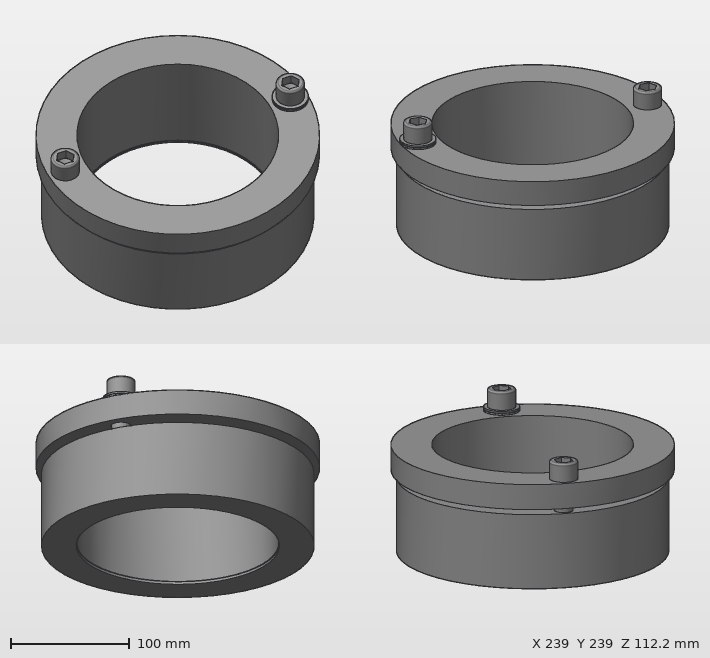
import cadquery as cq
import math

housing_diameter = 230.0
housing_height = 65.2

flange_diameter = 239.0
flange_thickness = 22.0
flange_gap = 5.7
bore_diameter = 170.0
taper_large_diameter = 181.2
taper_angle = 4.0
sleeve_end_height = 2.5

screw_spacing_radius = 104.2
shank_diameter = 16.0
shank_length = 59.8
head_diameter = 24.0
head_height = 16.0
head_fillet = 1.7
hexagon_sides = 6
socket_width = 13.9
socket_depth = 8.1
socket_cone_angle = 118.0
clearance_diameter = 17.5

washer_diameter = 30.5
washer_hole_diameter = 17.0
washer_thickness = 3.3
rim_groove_width = 0.12
rim_groove_depth = 0.2
serration_count = 16
serration_start_angle = 10.0

flange_bottom = housing_height + flange_gap
flange_top = flange_bottom + flange_thickness
taper_slope = math.tan(math.radians(taper_angle))
screw_seats = [
    (screw_spacing_radius, flange_top + washer_thickness),
    (-screw_spacing_radius, flange_top),
]


def taper_radius(height):
    return taper_large_diameter / 2 - (flange_bottom - height) * taper_slope


def vertical_cylinder(diameter, y, bottom, top):
    return cq.Workplane("XY", origin=(0, y, bottom)).circle(diameter / 2).extrude(top - bottom)


def make_housing():
    body = (
        cq.Workplane("XZ")
        .moveTo(taper_radius(0), 0)
        .lineTo(housing_diameter / 2, 0)
        .lineTo(housing_diameter / 2, housing_height)
        .lineTo(taper_radius(housing_height), housing_height)
        .close()
        .revolve(360, (0, 0), (0, 1))
    )
    for y, seat in screw_seats:
        body = body.cut(vertical_cylinder(shank_diameter, y, seat - shank_length, housing_height))
    return body


def make_sleeve():
    body = (
        cq.Workplane("XZ")
        .moveTo(bore_diameter / 2, sleeve_end_height)
        .lineTo(taper_radius(sleeve_end_height), sleeve_end_height)
        .lineTo(taper_large_diameter / 2, flange_bottom)
        .lineTo(flange_diameter / 2, flange_bottom)
        .lineTo(flange_diameter / 2, flange_top)
        .lineTo(bore_diameter / 2, flange_top)
        .close()
        .revolve(360, (0, 0), (0, 1))
    )
    for y, _ in screw_seats:
        body = body.cut(vertical_cylinder(clearance_diameter, y, flange_bottom, flange_top))
    return body


def make_screw(y, seat):
    head_top = seat + head_height
    head = vertical_cylinder(head_diameter, y, seat, head_top).faces(">Z").edges().fillet(head_fillet)
    shank = vertical_cylinder(shank_diameter, y, seat - shank_length, seat)
    return head.union(shank).cut(make_socket(y, head_top))


def make_socket(y, head_top):
    """Cutter for the hexagon socket: two corners along Y, ending in a drill point."""
    across_corners = socket_width / math.cos(math.pi / hexagon_sides)
    hexagon = (
        cq.Workplane("XY", origin=(0, y, head_top))
        .transformed(rotate=(0, 0, 90))
        .polygon(hexagon_sides, across_corners)
        .extrude(-socket_depth)
    )
    cone_height = socket_width / 2 / math.tan(math.radians(socket_cone_angle / 2))
    floor = cq.Vector(0, y, head_top - socket_depth)
    drill_point = cq.Solid.makeCone(socket_width / 2, 0, cone_height, floor, cq.Vector(0, 0, -1))
    return hexagon.union(cq.Workplane(drill_point))


def make_washer():
    """Wedge-locking washer: a fine seam runs round its rim and short serrations notch the rim below it."""
    y = screw_spacing_radius
    seam_height = flange_top + washer_thickness / 2
    washer = vertical_cylinder(washer_diameter, y, flange_top, flange_top + washer_thickness)
    seam = (
        cq.Workplane("XY", origin=(0, y, seam_height))
        .circle(washer_diameter / 2)
        .circle(washer_diameter / 2 - rim_groove_depth)
        .extrude(rim_groove_width)
    )
    serrations = (
        cq.Workplane("XY", origin=(0, y, flange_top))
        .polarArray(washer_diameter / 2, serration_start_angle, 360, serration_count)
        .rect(2 * rim_groove_depth, rim_groove_width)
        .extrude(washer_thickness / 2)
    )
    bolt_hole = vertical_cylinder(washer_hole_diameter, y, flange_top, flange_top + washer_thickness)
    return washer.cut(seam).cut(serrations).cut(bolt_hole)


housing = make_housing()
sleeve = make_sleeve()
screws = [make_screw(y, seat) for y, seat in screw_seats]
washer = make_washer()

result = cq.Compound.makeCompound(
    [housing.val(), sleeve.val(), washer.val()] + [screw.val() for screw in screws]
)